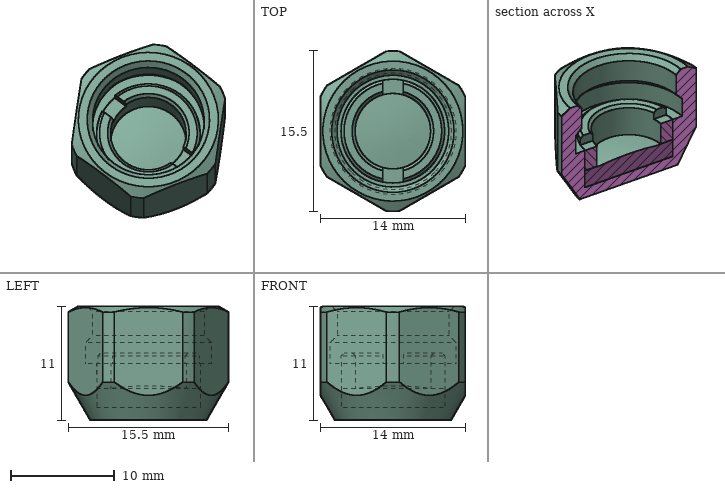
import cadquery as cq
import math

NUT_HEIGHT = 11.0
ACROSS_FLATS = 14.0
CORNER_RADIUS = 7.75
TOP_FACE_RADIUS = 6.75
TOP_BEVEL_ANGLE = 30.0
BOTTOM_FACE_RADIUS = 5.62
BOTTOM_CONE_ANGLE = 60.0

BORE_RADIUS = 5.39
MOUTH_RADIUS = 5.9
MOUTH_DEPTH = MOUTH_RADIUS - BORE_RADIUS
BORE_DEPTH = 2.8
UNDERCUT_RADIUS = 6.09
UNDERCUT_TAPER = UNDERCUT_RADIUS - BORE_RADIUS
POCKET_FLOOR = 1.24

RING_OUTER_RADIUS = 5.0
RING_INNER_RADIUS = 3.64
RING_CHAMFER = 0.3
RING_TOP = NUT_HEIGHT - 4.49
SLOT_WIDTH = 2.0
SLOT_DEPTH = 1.0
NUT_FLOOR = RING_TOP - SLOT_DEPTH

RING_BOTTOM = 3.1
DOME_RADIUS = 27.88


def nut_blank():
    """Hexagon with flats facing +X and -X, turned to a bevel on top and a cone below."""
    corner_to_corner = ACROSS_FLATS / math.cos(math.radians(30))
    hexagon = (
        cq.Workplane("XY")
        .polygon(6, corner_to_corner)
        .extrude(NUT_HEIGHT)
        .rotate((0, 0, 0), (0, 0, 1), 30)
    )
    bevel_height = (CORNER_RADIUS - TOP_FACE_RADIUS) * math.tan(math.radians(TOP_BEVEL_ANGLE))
    cone_height = (CORNER_RADIUS - BOTTOM_FACE_RADIUS) * math.tan(math.radians(BOTTOM_CONE_ANGLE))
    turned_envelope = (
        cq.Workplane("XZ")
        .polyline([
            (0, 0),
            (BOTTOM_FACE_RADIUS, 0),
            (CORNER_RADIUS, cone_height),
            (CORNER_RADIUS, NUT_HEIGHT - bevel_height),
            (TOP_FACE_RADIUS, NUT_HEIGHT),
            (0, NUT_HEIGHT),
        ])
        .close()
        .revolve(360, (0, 0, 0), (0, 1, 0))
    )
    return hexagon.intersect(turned_envelope)


def nut_cavity():
    """Chamfered mouth, bore, tapered undercut and the pocket for the ring and disc."""
    bore_end = NUT_HEIGHT - BORE_DEPTH
    return (
        cq.Workplane("XZ")
        .polyline([
            (0, POCKET_FLOOR),
            (RING_OUTER_RADIUS, POCKET_FLOOR),
            (RING_OUTER_RADIUS, NUT_FLOOR),
            (UNDERCUT_RADIUS, NUT_FLOOR),
            (UNDERCUT_RADIUS, bore_end - UNDERCUT_TAPER),
            (BORE_RADIUS, bore_end),
            (BORE_RADIUS, NUT_HEIGHT - MOUTH_DEPTH),
            (MOUTH_RADIUS, NUT_HEIGHT),
            (0, NUT_HEIGHT),
        ])
        .close()
        .revolve(360, (0, 0, 0), (0, 1, 0))
    )


def make_nut():
    return nut_blank().cut(nut_cavity())


def make_slotted_ring():
    """Ring with both top edges chamfered and a driver slot across its top, along Y."""
    ring = (
        cq.Workplane("XY", origin=(0, 0, RING_BOTTOM))
        .circle(RING_OUTER_RADIUS)
        .circle(RING_INNER_RADIUS)
        .extrude(RING_TOP - RING_BOTTOM)
        .faces(">Z")
        .edges()
        .chamfer(RING_CHAMFER)
    )
    slot = (
        cq.Workplane("XY", origin=(0, 0, NUT_FLOOR))
        .rect(SLOT_WIDTH, 2 * MOUTH_RADIUS)
        .extrude(SLOT_DEPTH)
    )
    return ring.cut(slot)


def make_domed_disc():
    """Disc filling the pocket below the ring, with a dome rising into the ring's hole."""
    dome_height = DOME_RADIUS - math.sqrt(DOME_RADIUS**2 - RING_INNER_RADIUS**2)
    return (
        cq.Workplane("XZ")
        .moveTo(0, POCKET_FLOOR)
        .lineTo(RING_OUTER_RADIUS, POCKET_FLOOR)
        .lineTo(RING_OUTER_RADIUS, RING_BOTTOM)
        .lineTo(RING_INNER_RADIUS, RING_BOTTOM)
        .radiusArc((0, RING_BOTTOM + dome_height), -DOME_RADIUS)
        .close()
        .revolve(360, (0, 0, 0), (0, 1, 0))
    )


nut = make_nut()
slotted_ring = make_slotted_ring()
domed_disc = make_domed_disc()

result = cq.Compound.makeCompound([nut.val(), slotted_ring.val(), domed_disc.val()])